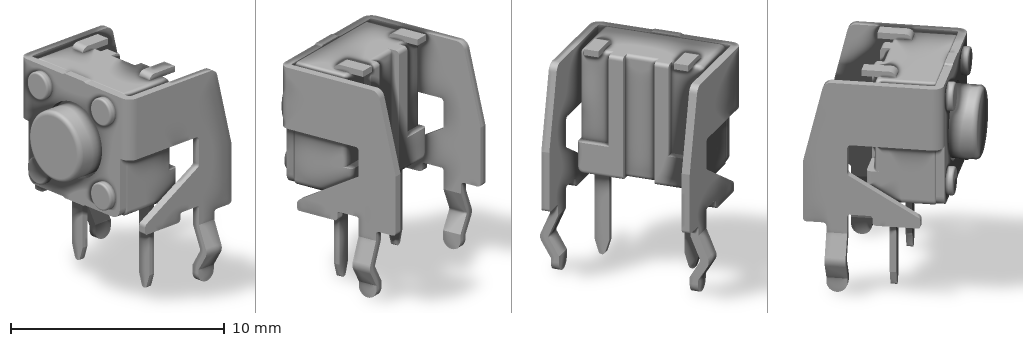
import cadquery as cq
import math


fillet_margin = 0.001

sheet = 0.4
bracket_half_width = 3.74
bend_radius = 0.5
plate_half = 3.11
plate_corner_radius = 0.5
bump_height = 0.05
bump_base_half = 0.76
bump_top_half = 0.65
button_hole_radius = 1.9

flange_back = 6.6
flange_top_back = 5.6
flange_slope_z = -0.97
flange_bottom = -4.01
window_back = 4.5
window_corner_z = -1.52
arm_front = 1.04
arm_angle = 30
arm_notch_front = 3.31
arm_notch_z = -3.53
top_back_radius = 0.45
tip_radius = 0.22
corner_radius = 0.17
small_radius = 0.11

leg_width = 0.99
leg_end = -7.51
kink_start = -4.5
kink_apex = -5.82
kink_end = -6.8
kink_apex_half = 4.31
leg_foot_half = 3.71
leg_foot_thickness = 0.41
kink_radius = 0.46
inner_kink_start = -4.6
inner_kink_apex = -5.75
inner_kink_end = -6.67
inner_kink_apex_half = 3.84

housing_half = 3.11
housing_shoulder_back = 3.3
housing_back = 3.71
housing_edge_radius = 0.29
housing_back_radius = 0.2
housing_front_radius = 0.1
channel_half_width = 0.8
post_half_width = 1.5
ledge_z = -1.53

button_radius = 1.75
button_front = -1.3
button_fillet = 0.22
peg_radius = 0.69
peg_height = 0.35
peg_fillet = 0.1
peg_spacing = 2.15

terminal_half_width = 0.36
terminal_thickness = 0.3
terminal_x = 2.27
terminal_front = 2.37
terminal_arm_back = 4.01
terminal_top = 3.39
terminal_bend_radius = 0.34
terminal_taper_z = -6.78
terminal_tip_half = 0.13
terminal_tip_radius = 0.17


def box(x0, x1, y0, y1, z0, z1):
    """Box between two opposite corners."""
    return cq.Workplane("XY").box(x1 - x0, y1 - y0, z1 - z0, centered=False).translate((x0, y0, z0))


def along_y(outline, y0, y1):
    """Closed outline of (x, z) points extruded from y0 to y1."""
    return cq.Workplane("XZ", origin=(0, y0, 0)).polyline(outline).close().extrude(y0 - y1)


def along_x(outline, half_width):
    """Closed outline of (y, z) points extruded to both sides of X = 0."""
    return cq.Workplane("YZ").polyline(outline).close().extrude(half_width, both=True)


def round_edge(solid, direction, point, radius):
    """Fillet the edge parallel to the given direction that lies nearest to a point."""
    return solid.edges("|" + direction).edges(cq.selectors.NearestToPointSelector(point)).fillet(radius)


def disc(radius, y0, y1, x=0, z=0):
    """Cylinder along Y between y0 and y1."""
    return cq.Workplane("XZ", origin=(x, y0, z)).circle(radius).extrude(y0 - y1)


def rounded_block(back):
    """Block behind the plate with rounded long edges and rounded front and back rims."""
    block = box(-housing_half, housing_half, sheet, back, -housing_half, housing_half)
    block = block.edges("|Y").fillet(housing_edge_radius)
    block = block.faces(">Y").edges().fillet(housing_back_radius)
    return block.faces("<Y").edges().fillet(housing_front_radius)


def make_housing():
    """Main block plus two back posts, each with a wider foot below the ledge."""
    past_back = housing_back + 0.11
    past_side = housing_half + 0.11
    back = rounded_block(housing_back)
    back = back.cut(
        box(-channel_half_width, channel_half_width, sheet, past_back, -past_side, past_side)
    )
    for x0, x1 in ((-past_side, -post_half_width), (post_half_width, past_side)):
        back = back.cut(box(x0, x1, sheet, past_back, ledge_z, past_side))
    return rounded_block(housing_shoulder_back).union(back)


def make_plate():
    """Front plate with a centre bump on its top and bottom edges and the upper half bent back."""
    lower = box(-housing_half, housing_half, 0, sheet, -plate_half, 0)
    lower = lower.edges("|Y and <Z").fillet(plate_corner_radius)

    folded = box(-bracket_half_width, bracket_half_width, 0, bend_radius, 0, plate_half)
    folded = folded.edges("|Z and <Y").fillet(bend_radius - fillet_margin)
    inner_half = bracket_half_width - sheet
    hollow = box(-inner_half, inner_half, sheet, 2 * bend_radius, 0, plate_half)
    hollow = hollow.edges("|Z and <Y").fillet(bend_radius - sheet)

    plate = lower.union(folded.cut(hollow))
    for side in (1, -1):
        bump = [
            (-bump_base_half, 0),
            (-bump_base_half, side * plate_half),
            (-bump_top_half, side * (plate_half + bump_height)),
            (bump_top_half, side * (plate_half + bump_height)),
            (bump_base_half, side * plate_half),
            (bump_base_half, 0),
        ]
        plate = plate.union(along_y(bump, 0, sheet))
    return plate.cut(disc(button_hole_radius, 0, sheet))


def make_flange_outline():
    """Side outline of a flange with its slanted arm and round-ended leg, extruded across X."""
    leg_back = window_back + leg_width
    arm_tip_z = window_corner_z - (window_back - arm_front) * math.tan(math.radians(arm_angle))
    rounded_corners = [
        ((flange_top_back, plate_half), top_back_radius),
        ((flange_back, flange_bottom), corner_radius),
        ((leg_back, flange_bottom), corner_radius),
        ((leg_back, leg_end), leg_width / 2 - fillet_margin),
        ((window_back, leg_end), leg_width / 2 - fillet_margin),
        ((window_back, arm_notch_z), small_radius),
        ((arm_notch_front, arm_notch_z), small_radius),
        ((arm_notch_front, flange_bottom), corner_radius),
        ((arm_front, flange_bottom), small_radius),
        ((arm_front, arm_tip_z), tip_radius),
        ((window_back, window_corner_z), corner_radius),
        ((window_back, 0), corner_radius),
    ]
    corners = [corner for corner, radius in rounded_corners]
    corners.insert(1, (flange_back, flange_slope_z))
    outline = along_x([(bend_radius, plate_half)] + corners + [(bend_radius, 0)], kink_apex_half)
    for (y, z), radius in rounded_corners:
        outline = round_edge(outline, "X", (0, y, z), radius)
    return outline


def make_flange():
    """Right-hand flange: the kinked sheet section trimmed to the side outline."""
    inner_half = bracket_half_width - sheet
    foot_inner_half = leg_foot_half - leg_foot_thickness
    section = [
        (bracket_half_width, plate_half),
        (bracket_half_width, kink_start),
        (kink_apex_half, kink_apex),
        (leg_foot_half, kink_end),
        (leg_foot_half, leg_end),
        (foot_inner_half, leg_end),
        (foot_inner_half, inner_kink_end),
        (inner_kink_apex_half, inner_kink_apex),
        (inner_half, inner_kink_start),
        (inner_half, plate_half),
    ]
    strip = along_y(section, 0, flange_back)
    middle = flange_back / 2
    strip = round_edge(strip, "Y", (kink_apex_half, middle, kink_apex), kink_radius)
    strip = round_edge(strip, "Y", (inner_kink_apex_half, middle, inner_kink_apex), small_radius)
    return strip.intersect(make_flange_outline())


def make_button():
    """Round button standing on the housing, with a rounded front rim."""
    return disc(button_radius, button_front, sheet).faces("<Y").edges().fillet(button_fillet)


def make_peg(x, z):
    """Small round peg on the plate."""
    return disc(peg_radius, -peg_height, sheet, x, z).faces("<Y").edges().fillet(peg_fillet)


def make_terminal(x):
    """Flat pin through the housing with a tapered foot and its top bent back into an arm."""
    pin_back = terminal_front + terminal_thickness
    pin = [
        (x - terminal_half_width, terminal_top),
        (x - terminal_half_width, terminal_taper_z),
        (x - terminal_tip_half, leg_end),
        (x + terminal_tip_half, leg_end),
        (x + terminal_half_width, terminal_taper_z),
        (x + terminal_half_width, terminal_top),
    ]
    terminal = along_y(pin, terminal_front, pin_back)
    terminal = terminal.faces("<Z").edges("|Y").fillet(terminal_tip_radius)
    arm = box(
        x - terminal_half_width, x + terminal_half_width,
        terminal_front, terminal_arm_back,
        terminal_top - terminal_thickness, terminal_top,
    )
    return round_edge(
        terminal.union(arm), "X", (x, terminal_front, terminal_top), terminal_bend_radius
    )


flange = make_flange()
result = make_housing().union(make_plate()).union(flange).union(flange.mirror("YZ"))
result = result.union(make_button())
for side in (-1, 1):
    result = result.union(make_terminal(side * terminal_x))
    for level in (-1, 1):
        result = result.union(make_peg(side * peg_spacing, level * peg_spacing))